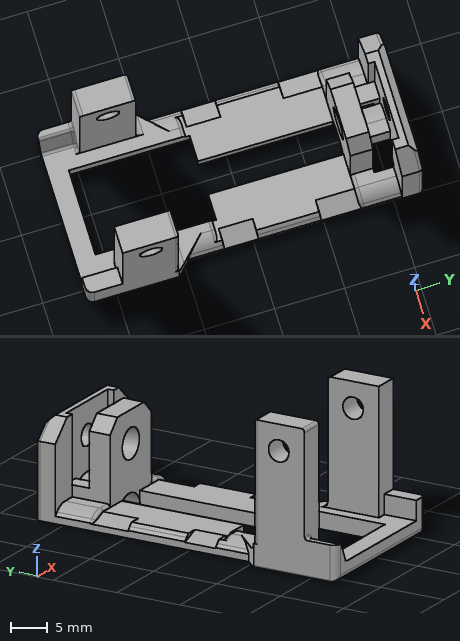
import cadquery as cq
import math

LENGTH = 48.5
HEAD_WIDTH = 24.05
RAIL_WIDTH = 20.45
HEIGHT = 21.55

FLOOR_TOP = 2.5
DECK_TOP = 2.05
DECK_FRONT = 19.6
DECK_REAR = 39.45
STEP_RADIUS = 0.55
SIDE_RADIUS = 3.1
SIDE_BEVEL = 0.5
TAPER_START = 13.1
TAPER_INNER = 7.5
FRONT_RADIUS = 1.0
BOTTOM_RADIUS = 0.4

WINDOW_HALF = 6.2
WINDOW_FRONT = 2.95
WINDOW_REAR = 20.15
SLOT_WIDTH = 4.85

PAD_RANGES = ((DECK_FRONT + 0.55, 24.95), (33.95, DECK_REAR + 2 * STEP_RADIUS))
PAD_INNER = 7.5
PAD_EDGE_Z = 1.0

POST_WIDTH = 3.95
POST_FRONT = 5.05
POST_HOLE_DIAMETER = 3.2
POST_HOLE_Y = 9.1
POST_HOLE_Z = 17.65
POST_ROUND = 0.5
POST_ROOT_RADIUS = 1.0
LEDGE_TOP = 5.5
LEDGE_INNER = 9.6
SLOPE_TOP_X = 10.75
SLOPE_FOOT_X = 9.5
LEDGE_RADIUS = 0.5

WALL_FRONT = 45.45
WALL_TOP = 14.5
WALL_CORNER_X = 3.2
WALL_CORNER_Z = 2.95
WALL_BEVEL = 1.15
WALL_EDGE_RADIUS = 0.6
WALL_HOLE_DIAMETER = 3.2
RECESS_REAR = 46.35
TOWER_HALF = 5.62
TOWER_REAR = 42.7
TOWER_CHAMFER = 2.0
TOWER_HOLE_DIAMETER = 4.6
HOLE_Z = 9.6
ARCH_DIAMETER = 6.2
ARCH_X = -0.45
ARCH_Z = -0.6

BLOCK_RIGHT = 1.75
BLOCK_TOP = 4.25
SCOOP_LEFT = -3.1
SCOOP_FRONT = 43.55
SCOOP_RADIUS = 2.9
NOTCH_TOP = 4.1
NOTCH_RADIUS = 0.6

HEAD_HALF = HEAD_WIDTH / 2
RAIL_HALF = RAIL_WIDTH / 2


def box(x0, x1, y0, y1, z0, z1):
    """Box between two opposite corners."""
    return cq.Workplane("XY").box(x1 - x0, y1 - y0, z1 - z0, centered=False).translate((x0, y0, z0))


def along_y(y):
    """Sketch plane facing -Y at the given y; sketch axes are X and Z."""
    return cq.Workplane("XZ", origin=(0, y, 0))


def cylinder_y(diameter, x, z, y0, y1):
    """Cylinder with its axis along Y."""
    return along_y(y0).center(x, z).circle(diameter / 2).extrude(y0 - y1)


def rail_segment(y0, y1):
    """Length of floor with rounded and bevelled top side edges."""
    leg = SIDE_RADIUS * math.sqrt(0.5)
    mid = SIDE_RADIUS * math.sin(math.pi / 8)
    drop = SIDE_RADIUS * (1 - math.cos(math.pi / 8))
    arc_end = RAIL_HALF - SIDE_BEVEL
    arc_start = arc_end - leg
    arc_end_z = FLOOR_TOP - SIDE_RADIUS + leg
    side_z = arc_end_z - SIDE_BEVEL
    profile = (
        along_y(y0)
        .moveTo(-RAIL_HALF, 0)
        .lineTo(RAIL_HALF, 0)
        .lineTo(RAIL_HALF, side_z)
        .lineTo(arc_end, arc_end_z)
        .threePointArc((arc_start + mid, FLOOR_TOP - drop), (arc_start, FLOOR_TOP))
        .lineTo(-arc_start, FLOOR_TOP)
        .threePointArc((-arc_start - mid, FLOOR_TOP - drop), (-arc_end, arc_end_z))
        .lineTo(-RAIL_HALF, side_z)
        .close()
    )
    return profile.extrude(y0 - y1)


def round_step(segment, end_selector):
    """Round the top edges of one end face of a rail segment."""
    side_z = FLOOR_TOP - SIDE_RADIUS * (1 - math.sqrt(0.5)) - SIDE_BEVEL
    top_zone = cq.selectors.BoxSelector(
        (-RAIL_HALF, 0, side_z - 0.05 + SIDE_BEVEL / 2),
        (RAIL_HALF, LENGTH, FLOOR_TOP + 0.5),
    )
    return segment.faces(end_selector).edges(top_zone).fillet(STEP_RADIUS)


def sloped_pad_cut(y0, y1, side):
    """Wedge removed from one deck edge (side is -1 or 1)."""
    slope = (DECK_TOP - PAD_EDGE_Z) / (RAIL_HALF - PAD_INNER)
    outside = RAIL_HALF + 0.5
    outside_z = DECK_TOP - slope * (outside - PAD_INNER)
    wedge = [(side * PAD_INNER, DECK_TOP), (side * outside, DECK_TOP), (side * outside, outside_z)]
    return along_y(y0).polyline(wedge).close().extrude(y0 - y1)


def build_rail():
    """Floor of the narrow part: lowered deck between two raised ends."""
    front = round_step(rail_segment(TAPER_START, DECK_FRONT), ">Y")
    rear = round_step(rail_segment(DECK_REAR, WALL_FRONT), "<Y")
    deck = rail_segment(DECK_FRONT - 2 * STEP_RADIUS, DECK_REAR + 2 * STEP_RADIUS)
    deck = deck.cut(box(-RAIL_HALF, RAIL_HALF, 0, LENGTH, DECK_TOP, HEIGHT))
    for y0, y1 in PAD_RANGES:
        for side in (-1, 1):
            deck = deck.cut(sloped_pad_cut(y0, y1, side))
    return front.union(deck).union(rear)


def head_plan(height):
    """Head outline with rounded front corners and 45 degree rear tapers."""
    taper_end = TAPER_START + HEAD_HALF - TAPER_INNER
    outline = [
        (-HEAD_HALF, 0),
        (HEAD_HALF, 0),
        (HEAD_HALF, TAPER_START),
        (TAPER_INNER, taper_end),
        (-TAPER_INNER, taper_end),
        (-HEAD_HALF, TAPER_START),
    ]
    plan = cq.Workplane("XY").polyline(outline).close().extrude(height)
    return plan.faces("<Y").edges("|Z").fillet(FRONT_RADIUS)


def build_post(side):
    """Upright with a root fillet at its rear and rounded outer edges."""
    post = box(HEAD_HALF - POST_WIDTH, HEAD_HALF, POST_FRONT, TAPER_START, 0, HEIGHT)
    post = post.edges("(>Y and >Z) or (>X and >Y)").fillet(POST_ROUND)
    root_z = FLOOR_TOP + POST_ROOT_RADIUS
    root = (
        cq.Workplane("YZ", origin=(HEAD_HALF - POST_WIDTH, 0, 0))
        .moveTo(POST_FRONT, 0)
        .lineTo(TAPER_START + POST_ROOT_RADIUS, 0)
        .lineTo(TAPER_START + POST_ROOT_RADIUS, FLOOR_TOP)
        .radiusArc((TAPER_START, root_z), POST_ROOT_RADIUS)
        .lineTo(POST_FRONT, root_z)
        .close()
        .extrude(POST_WIDTH)
    )
    post = post.union(root)
    if side < 0:
        post = post.mirror("YZ")
        post = post.edges("<Y and >Z").fillet(POST_ROUND)
    return post


def build_left_ledge(post):
    """Left post joined to its ledge, which slopes down to the floor."""
    slope = (SLOPE_TOP_X - SLOPE_FOOT_X) / (LEDGE_TOP - FLOOR_TOP)
    bottom_x = SLOPE_FOOT_X - slope * FLOOR_TOP
    outline = [
        (-HEAD_HALF, 0),
        (-bottom_x, 0),
        (-SLOPE_TOP_X, LEDGE_TOP),
        (-HEAD_HALF, LEDGE_TOP),
    ]
    ledge = along_y(0).polyline(outline).close().extrude(-POST_FRONT - 0.5)
    ledge = ledge.edges("|Y and >Z").edges(">X").fillet(LEDGE_RADIUS)
    joined = post.union(ledge)
    junction = cq.selectors.BoxSelector(
        (-HEAD_HALF - 0.5, POST_FRONT - 0.05, FLOOR_TOP),
        (-bottom_x - 0.05, POST_FRONT + 0.05, LEDGE_TOP + 0.05),
    )
    return joined.edges(junction).fillet(LEDGE_RADIUS)


def build_head():
    """Wide front end: floor, posts and ledges."""
    floor = head_plan(FLOOR_TOP)
    right = build_post(1).union(box(LEDGE_INNER, HEAD_HALF, 0, POST_FRONT, 0, LEDGE_TOP))
    left = build_left_ledge(build_post(-1))
    head = floor.union(right).union(left).intersect(head_plan(HEIGHT))
    foot = cq.selectors.BoxSelector(
        (-SLOPE_FOOT_X - 0.05, 0, FLOOR_TOP - 0.05),
        (-SLOPE_FOOT_X + 0.05, POST_FRONT, FLOOR_TOP + 0.05),
    )
    head = head.edges(foot).fillet(LEDGE_RADIUS)
    corner = box(-HEAD_HALF, HEAD_HALF, 0, FRONT_RADIUS, 0, FRONT_RADIUS)
    corner = corner.cut(
        cq.Workplane("YZ", origin=(-HEAD_HALF, FRONT_RADIUS, FRONT_RADIUS))
        .circle(FRONT_RADIUS)
        .extrude(HEAD_WIDTH)
    )
    head = head.cut(corner)
    head = head.faces("<Z").edges("|Y").fillet(BOTTOM_RADIUS)
    hole = (
        cq.Workplane("YZ", origin=(-HEAD_HALF, POST_HOLE_Y, POST_HOLE_Z))
        .circle(POST_HOLE_DIAMETER / 2)
        .extrude(HEAD_WIDTH)
    )
    return head.cut(hole)


def build_wall():
    """Rear wall with sloped shoulders, a bevelled top and a recess."""
    shoulder = WALL_TOP - WALL_CORNER_Z
    top_half = RAIL_HALF - WALL_CORNER_X
    outline = [
        (-RAIL_HALF, 0),
        (RAIL_HALF, 0),
        (RAIL_HALF, shoulder),
        (top_half, WALL_TOP),
        (-top_half, WALL_TOP),
        (-RAIL_HALF, shoulder),
    ]
    wall = along_y(WALL_FRONT).polyline(outline).close().extrude(WALL_FRONT - LENGTH)
    wall = wall.faces(">Y").edges("not(|X)").fillet(WALL_EDGE_RADIUS)
    bevel = [
        (LENGTH - WALL_BEVEL, WALL_TOP),
        (LENGTH, WALL_TOP),
        (LENGTH, WALL_TOP - WALL_BEVEL),
    ]
    wall = wall.cut(cq.Workplane("YZ").polyline(bevel).close().extrude(RAIL_HALF, both=True))
    wall = wall.cut(box(-TOWER_HALF, TOWER_HALF, WALL_FRONT, RECESS_REAR, 0, WALL_TOP))
    return wall.cut(cylinder_y(WALL_HOLE_DIAMETER, 0, HOLE_Z, WALL_FRONT, LENGTH))


def build_tower():
    """Chamfered upright in front of the rear wall."""
    tower = box(-TOWER_HALF, TOWER_HALF, DECK_REAR, TOWER_REAR, 0, WALL_TOP)
    tower = tower.edges("|Y and >Z").chamfer(TOWER_CHAMFER)
    return tower.cut(cylinder_y(TOWER_HOLE_DIAMETER, 0, HOLE_Z, DECK_REAR, TOWER_REAR))


def build_low_block():
    """Block behind the tower with a pocket whose floor is a quarter round."""
    block = box(-TOWER_HALF, BLOCK_RIGHT, TOWER_REAR, RECESS_REAR, 0, BLOCK_TOP)
    scoop_right = SCOOP_LEFT + SCOOP_RADIUS
    scoop_bottom = BLOCK_TOP - SCOOP_RADIUS
    scoop = box(SCOOP_LEFT, scoop_right, SCOOP_FRONT, RECESS_REAR, scoop_bottom, BLOCK_TOP)
    scoop = scoop.cut(cylinder_y(2 * SCOOP_RADIUS, scoop_right, scoop_bottom, SCOOP_FRONT, RECESS_REAR))
    return block.cut(scoop)


def floor_openings():
    """Front window, centre slot, tower tunnel and rear opening."""
    window = box(-WINDOW_HALF, WINDOW_HALF, WINDOW_FRONT, WINDOW_REAR, 0, FLOOR_TOP)
    slot = box(-SLOT_WIDTH / 2, SLOT_WIDTH / 2, WINDOW_REAR, DECK_REAR, 0, FLOOR_TOP)
    tunnel = cylinder_y(ARCH_DIAMETER, ARCH_X, ARCH_Z, DECK_REAR, TOWER_REAR)
    rear = box(BLOCK_RIGHT, WINDOW_HALF, TOWER_REAR, RECESS_REAR, 0, NOTCH_TOP)
    rear = rear.edges("|Y and >Z and >X").fillet(NOTCH_RADIUS)
    return window.union(slot).union(tunnel).union(rear)


result = (
    build_rail()
    .union(build_head())
    .union(build_wall())
    .union(build_tower())
    .union(build_low_block())
    .cut(floor_openings())
)